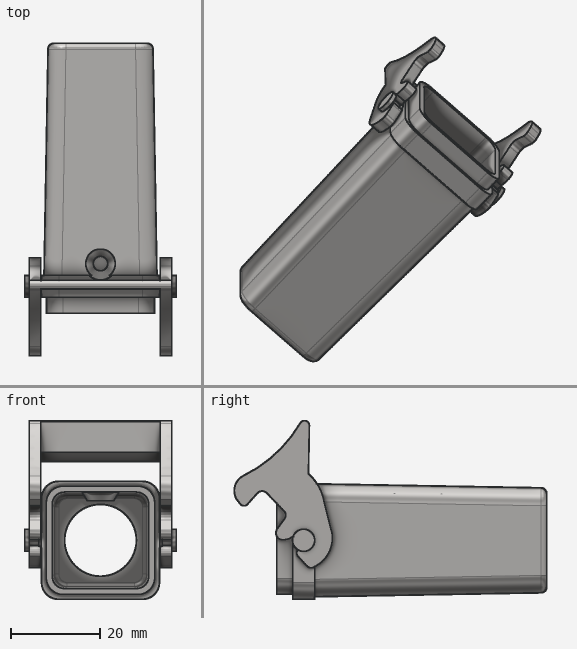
import cadquery as cq
import math


hood_length = 60.6
rim_width = 24.3
rim_length = 3.6
rim_corner = 3.65
flange_width = 26.5
flange_length = 4.9
flange_corner = 3.85
body_front_width = 25.4
body_rear_width = 23.6
body_corner = 4.0
body_end_fillet = 1.4

cavity_front_width = 21.7
cavity_floor_width = 20.6
cavity_corner = 2.8
cavity_floor_fillet = 0.9
end_wall = 11.2
entry_diameter = 16.1

dimple_y = 11.15
dimple_top_diameter = 6.7
dimple_bottom_diameter = 3.2
dimple_depth = 2.75
dimple_clearance = 0.7
boss_tip_diameter = 5.9
boss_base_diameter = 9.1
boss_tip_z = 8.85
boss_base_z = 11.45

pin_span = 34.0
pin_head_diameter = 5.0
pin_shaft_diameter = 2.95
pin_foot_diameter = 3.5
pin_foot_end_x = 13.9
pin_root = 0.7
lever_inner_x = 13.4
lever_outer_x = 16.0
bar_thickness = 1.9
bar_underside_drop = 2.0
bar_front_height = 7.15
lever_top_z = 26.9
lever_top_round = 1.1
lever_top_front_y = 5.25
mouth_upper_angle = 35
mouth_lower_angle = -60

flange_back = rim_length + flange_length
pin_y = rim_length + flange_length / 2


def square_block(start_y, length, front_width, rear_width, corner):
    """Square block along +Y with equal draft on four sides and rounded long edges."""
    draft = math.degrees(math.atan((front_width - rear_width) / 2 / length))
    block = cq.Workplane("XZ", origin=(0, start_y, 0)).rect(front_width, front_width)
    return block.extrude(-length, taper=draft).edges("not(|X or |Z)").fillet(corner)


def cone(bottom_z, top_z, bottom_diameter, top_diameter):
    """Upright cone on the dimple axis."""
    return cq.Workplane(cq.Solid.makeCone(
        bottom_diameter / 2, top_diameter / 2, top_z - bottom_z, cq.Vector(0, dimple_y, bottom_z)
    ))


def x_cylinder(diameter, start_x, end_x):
    """Cylinder on the pin axis between two X positions."""
    base = cq.Workplane("YZ", origin=(start_x, pin_y, 0))
    return base.circle(diameter / 2).extrude(end_x - start_x)


def make_hood():
    """Hollow hood: rim, flange, drafted body, cavity, cable entry and dimple."""
    rim = square_block(0, rim_length, rim_width, rim_width, rim_corner)
    flange = square_block(rim_length, flange_length, flange_width, flange_width, flange_corner)
    body = square_block(
        flange_back, hood_length - flange_back, body_front_width, body_rear_width, body_corner
    ).faces(">Y").edges().fillet(body_end_fillet)

    cavity = square_block(
        0, hood_length - end_wall, cavity_front_width, cavity_floor_width, cavity_corner
    ).faces(">Y").edges().fillet(cavity_floor_fillet)
    entry = cq.Workplane("XZ").circle(entry_diameter / 2).extrude(-hood_length)

    boss = cone(boss_tip_z, boss_base_z, boss_tip_diameter, boss_base_diameter)
    dimple_flare = (dimple_top_diameter - dimple_bottom_diameter) / dimple_depth
    dimple_top_z = body_front_width / 2
    dimple = cone(
        dimple_top_z - dimple_depth,
        dimple_top_z + dimple_clearance,
        dimple_bottom_diameter,
        dimple_top_diameter + dimple_flare * dimple_clearance,
    )
    return rim.union(flange).union(body).cut(cavity).cut(entry).union(boss).cut(dimple)


def make_pin():
    """Headed pin on the +X side, flared where it meets the flange."""
    foot_start_x = flange_width / 2
    shaft = x_cylinder(pin_shaft_diameter, foot_start_x - pin_root, lever_outer_x)
    head = x_cylinder(pin_head_diameter, lever_outer_x, pin_span / 2)
    foot = cq.Workplane(cq.Solid.makeCone(
        pin_foot_diameter / 2, pin_shaft_diameter / 2, pin_foot_end_x - foot_start_x,
        cq.Vector(foot_start_x, pin_y, 0), cq.Vector(1, 0, 0),
    ))
    return shaft.union(head).union(foot)


back_top = (7.4, lever_top_z - lever_top_round)
back_bottom = (7.15, 14.95)
crown_center = (back_top[0] - lever_top_round, back_top[1])
crown_top = (crown_center[0], lever_top_z)


def crown_point(y):
    """Point on the round top of the lever at a given Y."""
    rise = math.sqrt(lever_top_round**2 - (y - crown_center[0])**2)
    return y, crown_center[1] + rise


def make_side_plate():
    """Lever plate on the +X side; outline points are (Y, Z)."""
    bore_radius = pin_shaft_diameter / 2

    def bore_point(angle):
        """Point on the bore, with the angle taken upward from -Y."""
        turn = math.radians(angle)
        return pin_y - bore_radius * math.cos(turn), bore_radius * math.sin(turn)

    outline = (
        cq.Workplane("YZ", origin=(lever_inner_x, 0, 0))
        .moveTo(*back_bottom)
        .lineTo(*back_top)
        .threePointArc(crown_top, crown_point(lever_top_front_y))
        .threePointArc((-0.5, 19.2), (-7.45, 14.5))
        .threePointArc((-9.25, 12.55), (-9.05, 9.25))
        .lineTo(-8.1, 8.0)
        .threePointArc((-7.4, 7.7), (-6.7, 7.9))
        .lineTo(-4.35, 10.5)
        .threePointArc((-3.3, 11.0), (-2.1, 10.45))
        .lineTo(1.8, 6.4)
        .threePointArc((2.0, 5.5), (1.6, 4.6))
        .lineTo(0, 2.4)
        .threePointArc((0, 0.9), (1.4, 0.15))
        .threePointArc((2.45, 0.3), (3.5, 0.8))
        .lineTo(*bore_point(mouth_upper_angle))
        .threePointArc(bore_point(180), bore_point(mouth_lower_angle))
        .lineTo(4.8, -2.1)
        .threePointArc((4.5, -2.9), (4.8, -3.6))
        .lineTo(6.8, -5.75)
        .threePointArc((7.65, -6.2), (8.55, -5.9))
        .threePointArc((11.6, -3.0), (12.4, 1.55))
        .lineTo(10.65, 8.5)
        .threePointArc((9.3, 12.3), back_bottom)
        .close()
    )
    return outline.extrude(lever_outer_x - lever_inner_x)


def make_cross_bar():
    """Bar between the two plates, with a sloped underside."""
    lean = (back_top[0] - back_bottom[0]) / (back_top[1] - back_bottom[1])

    def back_y(z):
        return back_top[0] - lean * (back_top[1] - z)

    front_bottom_z = lever_top_z - bar_front_height
    rear_bottom_z = front_bottom_z - bar_underside_drop
    return (
        cq.Workplane("YZ", origin=(-lever_inner_x, 0, 0))
        .moveTo(back_y(rear_bottom_z), rear_bottom_z)
        .lineTo(*back_top)
        .threePointArc(crown_top, crown_point(back_top[0] - bar_thickness))
        .lineTo(back_y(front_bottom_z) - bar_thickness, front_bottom_z)
        .close()
        .extrude(2 * lever_inner_x)
    )


side_parts = make_pin().union(make_side_plate())
result = make_hood().union(side_parts).union(side_parts.mirror("YZ")).union(make_cross_bar())